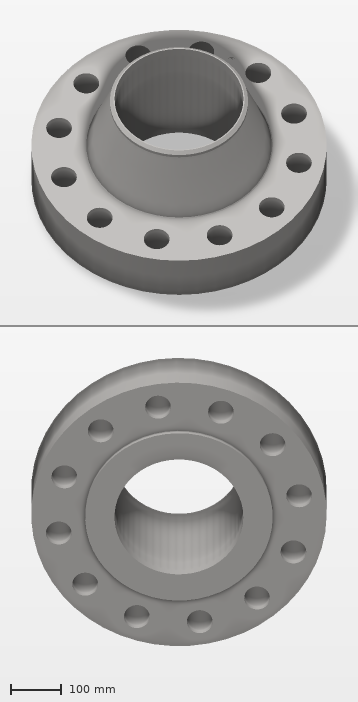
import cadquery as cq
import math

flange_diameter = 584.0
raised_face_diameter = 371.0
raised_face_height = 11.0
flange_thickness = 108.0

total_height = 265.0
hub_foot_radius = 186.0
hub_base_radius = 183.5
hub_foot_height = 1.0
neck_radius = 136.5
neck_height = 7.0
bevel_height = 6.0
land_width = 2.5
bore_radius = 127.5

bolt_count = 12
bolt_circle_radius = 241.0
bolt_hole_diameter = 51.0

small_hole_angle = 90.0 + 180.0 / bolt_count
small_hole_diameter = 12.0
small_hole_depth = 1.0
pilot_diameter = 6.0
pilot_depth = 2.5

flange_top = raised_face_height + flange_thickness


def flange_body():
    """Revolve the full profile, from the bore outwards."""
    flange_radius = flange_diameter / 2
    raised_face_radius = raised_face_diameter / 2
    bevel_bottom = total_height - bevel_height
    profile = (
        cq.Workplane("XZ")
        .moveTo(bore_radius, 0)
        .lineTo(raised_face_radius, 0)
        .lineTo(raised_face_radius, raised_face_height)
        .lineTo(flange_radius, raised_face_height)
        .lineTo(flange_radius, flange_top)
        .lineTo(hub_foot_radius, flange_top)
        .lineTo(hub_base_radius, flange_top + hub_foot_height)
        .lineTo(neck_radius, bevel_bottom - neck_height)
        .lineTo(neck_radius, bevel_bottom)
        .lineTo(bore_radius + land_width, total_height)
        .lineTo(bore_radius, total_height)
        .close()
    )
    return profile.revolve(360, (0, 0, 0), (0, 1, 0))


def bolt_holes():
    return (
        cq.Workplane("XY")
        .polarArray(bolt_circle_radius, 0, 360, bolt_count)
        .circle(bolt_hole_diameter / 2)
        .extrude(flange_top)
    )


def small_hole():
    angle = math.radians(small_hole_angle)
    mouth = cq.Workplane("XY", origin=(
        bolt_circle_radius * math.cos(angle),
        bolt_circle_radius * math.sin(angle),
        flange_top,
    ))
    pilot = mouth.circle(pilot_diameter / 2).extrude(-pilot_depth)
    return mouth.circle(small_hole_diameter / 2).extrude(-small_hole_depth).union(pilot)


result = flange_body().cut(bolt_holes()).cut(small_hole())